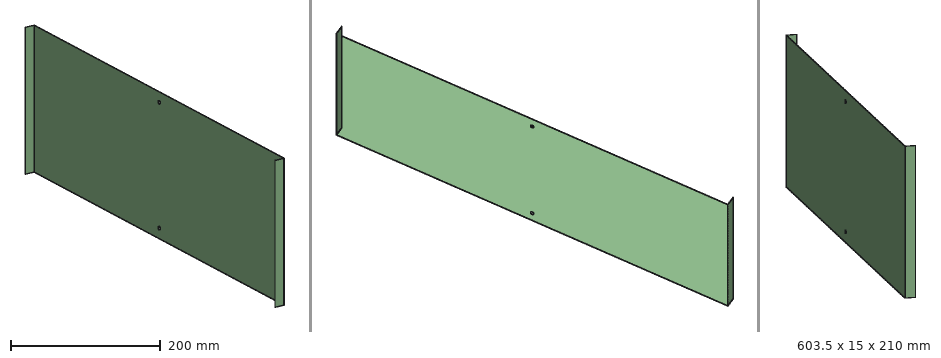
import cadquery as cq

length = 603.5
depth = 15.0
height = 210.0
thickness = 0.9

hole_diameter = 5.0
hole_spacing = 180.0

outer_block = cq.Workplane("XY").box(length, depth, height)
inner_space = cq.Workplane("XY").box(length - 2 * thickness, depth, height)
panel = outer_block.cut(inner_space.translate((0, -thickness, 0)))

holes = (
    cq.Workplane("XZ", origin=(0, depth / 2, 0))
    .rarray(6, hole_spacing, 1, 2)
    .circle(hole_diameter / 2)
    .extrude(depth)
)

result = panel.cut(holes)